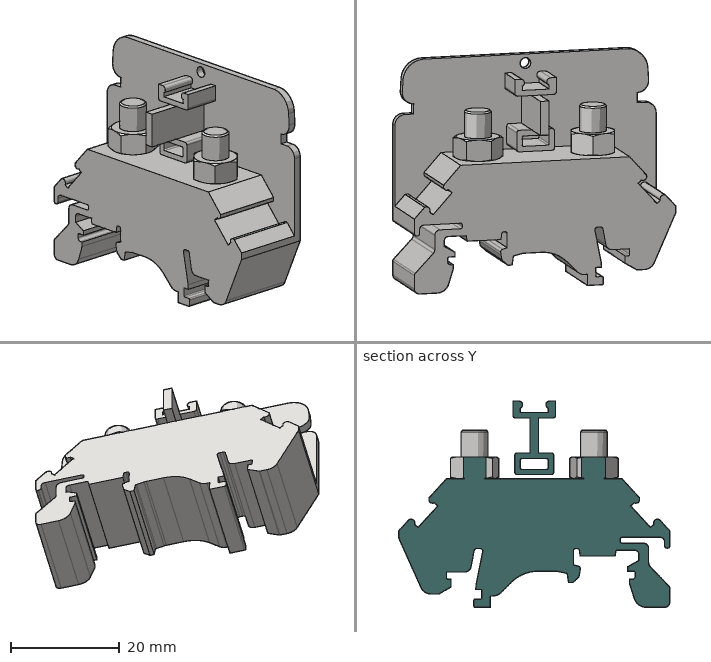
import cadquery as cq
import math

half_width = 25.0
height = 41.4
depth = 15.0
plate_thickness = 1.5

shoulder_z = 14.1
body_top_z = 23.75
body_top_half_width = 16.15

groove_start = 2.9
groove_end = 8.25
groove_depth = 2.2
bead_radius = 0.7
bead_setback = 0.25

hole_diameter = 2.0
hole_z = 39.7

stud_spacing = 22.0
stud_diameter = 5.0
stud_top_z = 32.65
stud_chamfer = 0.3
nut_height = 4.0
nut_across_flats = 8.0
nut_bevel_angle = 25.0
nut_blank_margin = 0.5
nut_turns = {-1: -13.0, 1: 15.0}

holder_length = 7.0
web_length = 13.15
web_width = 1.6
inner_half_width = 2.55
clip_half_width = 3.95
clip_top_z = 38.05
clip_bottom_z = 34.9
clip_floor_z = 35.95
clip_corner_radius = 0.5
clip_lip_half_gap = 2.15
clip_lip_radius = 0.7
box_half_width = 3.6
box_top_z = 28.5
box_bottom_z = 24.45
box_corner_radius = 0.45
pocket_top_z = 27.4
pocket_bottom_z = 25.45
pocket_corner_radius = 0.25

rail_foot = [
    (-half_width, 10.9, 0.45), (-24.0, 10.9, 0.45), (-24.0, 12.9, 0.8),
    (-15.85, 12.9, 0.35), (-15.85, 11.85, 0.35), (-21.1, 11.85, 1.0),
    (-21.1, 7.8, 1.0), (-half_width, 3.75, 0.5), (-half_width, 0, 1.0),
    (-18.95, 0, 2.35), (-17.55, 4.35, 0), (-17.55, 5.2, 0), (-18.6, 5.2, 0.6),
    (-18.6, 6.65, 0.25), (-17.2, 6.65, 0), (-17.2, 7.5, 0), (-19.25, 8.65, 0),
    (-19.25, 10.5, 0.7),
    (-15.1, 10.5, 0), (-14.9, 9.45, 0), (-8.45, 9.45, 0), (-8.25, 10.85, 0.4),
    (-7.25, 10.85, 0.4), (-7.25, 7.85, 0), (-8.55, 7.5, 0.5), (-8.45, 6.6, 0),
    (-8.25, 5.6, 0), (-7.1, 4.55, 0), (-6.3, 4.55, 0), (-6.05, 6.25, 0.3),
    (-4.2, 6.65, 2.0), (2.2, 6.65, 7.0), (6.75, 2.1, 2.0), (8.1, 2.1, 0),
    (8.1, 0, 0), (11.15, 0, 0.25), (11.15, 1.55, 0.25), (9.7, 1.55, 0.2),
    (9.7, 3.3, 0), (10.8, 3.3, 0), (10.75, 4.2, 0),
    (9.4, 10.85, 0.5), (11.0, 10.85, 0.45), (11.8, 6.5, 1.25), (16.15, 6.5, 0),
    (16.15, 5.2, 0.25), (15.3, 5.2, 0), (15.3, 3.8, 0), (17.55, 2.45, 0.2),
    (20.35, 2.45, 2.1), (half_width, 12.8, 0),
]

plate_edge = [
    (half_width, 31.2, 2.0), (21.4, 31.2, 0), (21.4, 33.1, 0),
    (23.7, 33.1, 2.2), (23.2, height, 4.0),
]


def mirrored(corners):
    """The same corners on the other side of x = 0, in reverse order."""
    return [(-x, z, radius) for x, z, radius in reversed(corners)]


def rounded_outline(corners):
    """Closed wire on the XZ plane through (x, z, radius) corners."""
    outline = None
    count = len(corners)
    for i, (x, z, radius) in enumerate(corners):
        corner = cq.Vector(x, z)
        before = (cq.Vector(*corners[i - 1][:2]) - corner).normalized()
        after = (cq.Vector(*corners[(i + 1) % count][:2]) - corner).normalized()
        half_angle = before.getAngle(after) / 2
        setback = radius / math.tan(half_angle)
        start = corner + before * setback
        if outline is None:
            outline = cq.Workplane("XZ").moveTo(start.x, start.y)
        else:
            outline = outline.lineTo(start.x, start.y)
        if radius > 0:
            bisector = (before + after).normalized()
            middle = corner + bisector * (radius / math.sin(half_angle) - radius)
            end = corner + after * setback
            outline = outline.threePointArc((middle.x, middle.y), (end.x, end.y))
    return outline.close()


def rectangle(half_size_x, bottom_z, top_z, radius=0):
    """Corners of a rectangle centred on x = 0."""
    right = [(half_size_x, bottom_z, radius), (half_size_x, top_z, radius)]
    return right + mirrored(right)


def on_plate(corners, length):
    """Block of the given outline standing out from the plate's front face."""
    return rounded_outline(corners).extrude(plate_thickness + length)


def make_plate():
    corners = rail_foot + plate_edge + mirrored(plate_edge)
    plate = rounded_outline(corners).extrude(plate_thickness)
    hole = cq.Workplane("XZ").center(0, hole_z).circle(hole_diameter / 2).extrude(plate_thickness)
    return plate.cut(hole)


def make_body():
    right_flank = [(half_width, shoulder_z, 0), (body_top_half_width, body_top_z, 0)]
    body = rounded_outline(rail_foot + right_flank + mirrored(right_flank)).extrude(depth)

    flank_run = half_width - body_top_half_width
    flank_rise = body_top_z - shoulder_z
    flank_angle = math.degrees(math.atan2(flank_rise, flank_run))
    flank = cq.Plane(origin=(-half_width, 0, shoulder_z), xDir=(1, 0, 0), normal=(0, -1, 0))
    flank = flank.rotated((0, 0, flank_angle))

    front_length = depth - plate_thickness
    groove = (
        cq.Workplane(flank).workplane(offset=plate_thickness)
        .moveTo(groove_start, -groove_depth)
        .rect(groove_end - groove_start, 2 * groove_depth, centered=False)
        .extrude(front_length)
    )
    bead_places = [
        (groove_start - bead_setback, -bead_radius),
        (groove_end + bead_setback, -bead_radius),
    ]
    beads = cq.Workplane(flank).pushPoints(bead_places).circle(bead_radius).extrude(depth)
    body = body.cut(groove).cut(groove.mirror("YZ"))
    return body.union(beads).union(beads.mirror("YZ"))


def make_clip():
    """Open channel whose side walls end in round lips."""
    lip_x = clip_lip_half_gap + clip_lip_radius
    lip_z = clip_top_z - clip_lip_radius
    right_half = [
        (clip_half_width, clip_bottom_z, clip_corner_radius),
        (clip_half_width, clip_top_z, 0),
        (lip_x, clip_top_z, 0),
        (lip_x, lip_z, 0),
        (inner_half_width, lip_z, 0),
        (inner_half_width, clip_floor_z, 0),
    ]
    channel = on_plate(right_half + mirrored(right_half), holder_length)
    lips = (
        cq.Workplane("XZ").pushPoints([(-lip_x, lip_z), (lip_x, lip_z)])
        .circle(clip_lip_radius).extrude(plate_thickness + holder_length)
    )
    return channel.union(lips)


def make_box():
    outer = rectangle(box_half_width, box_bottom_z, box_top_z, box_corner_radius)
    inner = rectangle(inner_half_width, pocket_bottom_z, pocket_top_z, pocket_corner_radius)
    pocket = on_plate(inner, holder_length).translate((0, -plate_thickness, 0))
    return on_plate(outer, holder_length).cut(pocket)


def make_web():
    return on_plate(rectangle(web_width / 2, box_top_z, clip_bottom_z), web_length)


def make_stud(side):
    """Chamfered stud with its nut, standing on the body top."""
    across_corners = nut_across_flats / math.cos(math.pi / 6)
    blank_radius = across_corners / 2 + nut_blank_margin
    bevel_run = blank_radius - nut_across_flats / 2
    bevel_rise = bevel_run * math.tan(math.radians(nut_bevel_angle))
    blank = cq.Workplane("XY").circle(blank_radius).extrude(nut_height)
    blank = blank.faces("<Z or >Z").chamfer(bevel_rise, bevel_run)
    nut = cq.Workplane("XY").polygon(6, across_corners).extrude(nut_height)
    nut = nut.intersect(blank).rotate((0, 0, 0), (0, 0, 1), nut_turns[side])

    stud = cq.Workplane("XY").circle(stud_diameter / 2).extrude(stud_top_z - body_top_z)
    stud = stud.faces(">Z").chamfer(stud_chamfer)
    stud_y = -(plate_thickness + depth) / 2
    return stud.union(nut).translate((side * stud_spacing / 2, stud_y, body_top_z))


result = make_plate().union(make_body())
result = result.union(make_clip()).union(make_web()).union(make_box())
for side in (-1, 1):
    result = result.union(make_stud(side))